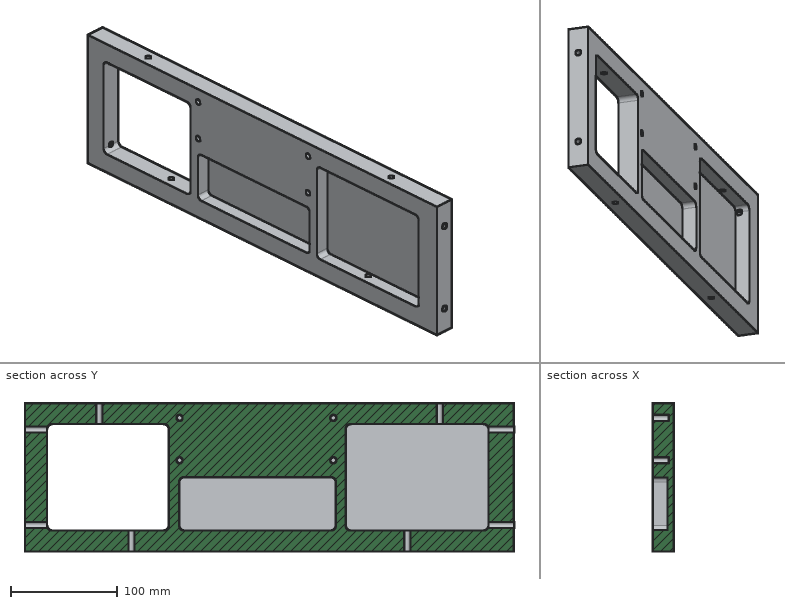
import cadquery as cq

LENGTH = 461.0
THICKNESS = 20.0
HEIGHT = 140.0
MID_THICKNESS = THICKNESS / 2
RAIL_WIDTH = 20.0
OPENING_HEIGHT = HEIGHT - 2 * RAIL_WIDTH
CORNER_RADIUS = 4.5

WINDOW_START = 21.0
WINDOW_LENGTH = 114.5
POCKET_DEPTH = 14.0
LOW_POCKET_START = 145.5
LOW_POCKET_LENGTH = 147.5
LOW_POCKET_HEIGHT = 50.0
TALL_POCKET_START = 302.5
TALL_POCKET_LENGTH = 134.5
TALL_POCKET_END = TALL_POCKET_START + TALL_POCKET_LENGTH
RIGHT_RAIL_WIDTH = LENGTH - TALL_POCKET_END

SCREW_DIAMETER = 5.5
SCREW_DEPTH = 15.0
SCREW_XS = (145.75, 290.75)
SCREW_ZS = (HEIGHT - 54.0, HEIGHT - 14.0)

RAIL_HOLE_DIAMETER = 5.5
TOP_HOLE_INSET = 70.0
BOTTOM_HOLE_INSET = 100.5

END_HOLE_DIAMETER = 5.5
END_HOLE_INSET = 25.0
END_HOLE_ZS = (END_HOLE_INSET, HEIGHT - END_HOLE_INSET)
PEG_DIAMETER = 6.0
PEG_PROJECTION = 0.61


def opening(start_x, length, height, depth):
    """Cutter with rounded corners, resting on the bottom rail and cut in from the front face."""
    block = cq.Workplane("XY").box(length, depth, height, centered=False)
    return block.edges("|Y").fillet(CORNER_RADIUS).translate((start_x, 0, RAIL_WIDTH))


def rod_along_x(start_x, length, diameter, z):
    """Cylinder along X at mid thickness."""
    plane = cq.Workplane("YZ", origin=(start_x, MID_THICKNESS, z))
    return plane.circle(diameter / 2).extrude(length)


def cut_openings(body):
    """Through window at the left, shallow pockets at the middle and right."""
    body = body.cut(opening(WINDOW_START, WINDOW_LENGTH, OPENING_HEIGHT, THICKNESS))
    body = body.cut(opening(LOW_POCKET_START, LOW_POCKET_LENGTH, LOW_POCKET_HEIGHT, POCKET_DEPTH))
    return body.cut(opening(TALL_POCKET_START, TALL_POCKET_LENGTH, OPENING_HEIGHT, POCKET_DEPTH))


def cut_screw_holes(body):
    """Four blind holes in the front face."""
    for x in SCREW_XS:
        for z in SCREW_ZS:
            plane = cq.Workplane("XZ", origin=(x, 0, z))
            body = body.cut(plane.circle(SCREW_DIAMETER / 2).extrude(-SCREW_DEPTH))
    return body


def cut_rail_holes(body):
    """Vertical holes through the top rail and, at a different spacing, through the bottom rail."""
    for inset, base_z in ((TOP_HOLE_INSET, HEIGHT - RAIL_WIDTH), (BOTTOM_HOLE_INSET, 0)):
        for x in (inset, LENGTH - inset):
            plane = cq.Workplane("XY", origin=(x, MID_THICKNESS, base_z))
            body = body.cut(plane.circle(RAIL_HOLE_DIAMETER / 2).extrude(RAIL_WIDTH))
    return body


def finish_ends(body):
    """Holes through the left rail; bores through the right rail, each closed by a low solid peg."""
    for z in END_HOLE_ZS:
        body = body.cut(rod_along_x(0, WINDOW_START, END_HOLE_DIAMETER, z))
        body = body.union(rod_along_x(LENGTH, PEG_PROJECTION, PEG_DIAMETER, z))
        body = body.cut(rod_along_x(TALL_POCKET_END, RIGHT_RAIL_WIDTH, END_HOLE_DIAMETER, z))
    return body


plate = cq.Workplane("XY").box(LENGTH, THICKNESS, HEIGHT, centered=False)
result = finish_ends(cut_rail_holes(cut_screw_holes(cut_openings(plate))))